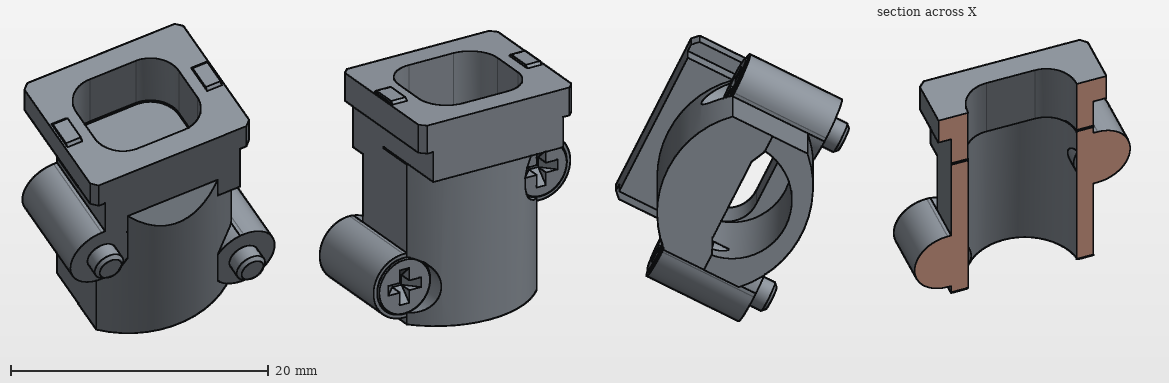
import cadquery as cq
import math


head_length = 11.9
plate_width = 14.0
neck_width = 11.88
plate_bottom = 16.6
plate_top = 19.02
neck_bottom = 14.0
plate_corner = 0.5

total_height = 19.23
bump_start = 4.6
bump_end = 7.29
bump_bevel = 0.25
bump_inner_y = 5.5
bump_width = 1.3

opening_start = 1.95
opening_length = 8.02
opening_width = 9.04
opening_radius = 2.5
opening_bottom = 13.79

split_x = 7.38
loose_tip_x = 1.27
flat_start_x = 3.9
flat_end_x = 10.42
fixed_tip_x = 12.9
loose_bottom = 0.08
loose_top = 13.88
bevel_bottom = 12.11

recess_floor_x = 6.85
recess_floor_width = 6.8
bore_radius = 4.65

screw_y = 6.25
front_screw_z = 10.5
rear_screw_z = 3.5
boss_radius = 2.75
sleeve_radius = 1.98
screw_head_radius = 2.42
screw_head_rise = 0.15
screw_head_bevel = 0.12
screw_diameter = 2.5
screw_tip_x = 13.4
screw_tip_bevel = 0.29

cross_length = 3.02
cross_arm = 0.85
cross_depth = 1.15

half_width = neck_width / 2
screw_places = [(-screw_y, front_screw_z), (screw_y, rear_screw_z)]


def block(x_start, x_end, y_start, y_end, z_start, z_end):
    """Box between two opposite corners."""
    size = (x_end - x_start, y_end - y_start, z_end - z_start)
    return cq.Workplane("XY").box(*size, centered=False).translate((x_start, y_start, z_start))


def rod(x_start, x_end, place, radius):
    """Cylinder along X, centred on a (Y, Z) place."""
    return cq.Workplane("YZ", origin=(x_start, 0, 0)).center(*place).circle(radius).extrude(x_end - x_start)


def half_shell(flat_x, tip_x, bottom, top):
    """Half of the clamp body: flat sides from the split plane, closed by an arc."""
    return (
        cq.Workplane("XY", origin=(0, 0, bottom))
        .moveTo(split_x, -half_width)
        .lineTo(flat_x, -half_width)
        .threePointArc((tip_x, 0), (flat_x, half_width))
        .lineTo(split_x, half_width)
        .close()
        .extrude(top - bottom)
    )


def make_head():
    """Plate on a narrower neck, with a square skirt reaching down over the fixed half."""
    plate = block(0, head_length, -plate_width / 2, plate_width / 2, plate_bottom, plate_top)
    plate = plate.edges("|Z").chamfer(plate_corner)
    neck = block(0, head_length, -half_width, half_width, neck_bottom, plate_bottom)
    skirt = block(split_x, head_length, -half_width, half_width, bevel_bottom, neck_bottom)
    return plate.union(neck).union(skirt)


def make_bump(y_start):
    """Low bump with sloped ends."""
    return (
        cq.Workplane("XZ", origin=(0, y_start, 0))
        .moveTo(bump_start, plate_top)
        .lineTo(bump_start + bump_bevel, total_height)
        .lineTo(bump_end - bump_bevel, total_height)
        .lineTo(bump_end, plate_top)
        .close()
        .extrude(-bump_width)
    )


def make_fixed_half():
    """Half shell with a flat slope cut across the top of its tip."""
    shell = half_shell(flat_end_x, fixed_tip_x, 0, neck_bottom)
    shoulder = (
        cq.Workplane("XZ")
        .moveTo(head_length, neck_bottom)
        .lineTo(fixed_tip_x, bevel_bottom)
        .lineTo(fixed_tip_x, neck_bottom)
        .close()
        .extrude(half_width, both=True)
    )
    return shell.cut(shoulder)


def make_boss(place):
    """Round screw boss, filled flush to the flat side of the body."""
    y, z = place
    side = math.copysign(1, y)
    wall_y = side * half_width
    web = block(flat_start_x, head_length, min(y, wall_y), max(y, wall_y), z - boss_radius, z + boss_radius)
    return rod(flat_start_x, head_length, place, boss_radius).union(web)


def make_head_opening():
    """Rounded rectangular hole from the top of the head down to the bore."""
    middle_x = opening_start + opening_length / 2
    return (
        cq.Workplane("XY", origin=(middle_x, 0, opening_bottom))
        .rect(opening_length, opening_width)
        .extrude(plate_top - opening_bottom)
        .edges("|Z")
        .fillet(opening_radius)
    )


def make_cable_passage():
    """Shallow recess in the loose half and a round bore in the fixed half."""
    recess = (
        cq.Workplane("XY")
        .moveTo(split_x, -opening_width / 2)
        .lineTo(recess_floor_x, -recess_floor_width / 2)
        .lineTo(recess_floor_x, recess_floor_width / 2)
        .lineTo(split_x, opening_width / 2)
        .close()
        .extrude(loose_top)
    )
    bore = cq.Workplane("XY").center(recess_floor_x, 0).circle(bore_radius).extrude(opening_bottom)
    fixed_side = block(split_x, fixed_tip_x, -half_width, half_width, 0, opening_bottom)
    return recess.union(bore.intersect(fixed_side))


def make_cross_recess(place):
    """Two crossed slots whose ends slope in to a small square floor."""
    half_length = cross_length / 2
    half_arm = cross_arm / 2
    slot = (
        cq.Workplane("XY")
        .moveTo(0, -half_length)
        .lineTo(cross_depth, -half_arm)
        .lineTo(cross_depth, half_arm)
        .lineTo(0, half_length)
        .close()
        .extrude(half_arm, both=True)
    )
    crossed = slot.union(slot.rotate((0, 0, 0), (1, 0, 0), 90))
    return crossed.translate((flat_start_x - screw_head_rise, *place))


def make_screw(place):
    """Bevelled head and tip, with the thicker sleeve around the shank inside the fixed half."""
    head = rod(flat_start_x - screw_head_rise, flat_start_x, place, screw_head_radius)
    head = head.faces("<X").chamfer(screw_head_bevel)
    shank = rod(flat_start_x, screw_tip_x, place, screw_diameter / 2)
    shank = shank.faces(">X").chamfer(screw_tip_bevel)
    sleeve = rod(split_x, flat_end_x, place, sleeve_radius)
    return head.union(shank).union(sleeve)


result = make_head()
result = result.union(make_fixed_half())
result = result.union(half_shell(flat_start_x, loose_tip_x, loose_bottom, loose_top))
for side_start in (bump_inner_y, -bump_inner_y - bump_width):
    result = result.union(make_bump(side_start))
for screw_place in screw_places:
    result = result.union(make_boss(screw_place))

result = result.cut(make_head_opening())
result = result.cut(make_cable_passage())

for screw_place in screw_places:
    result = result.cut(rod(0, flat_start_x, screw_place, screw_head_radius))
    result = result.union(make_screw(screw_place))
    result = result.cut(make_cross_recess(screw_place))